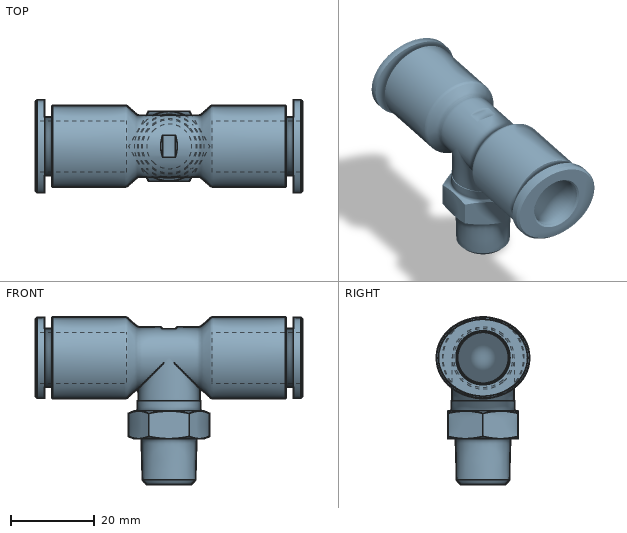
import cadquery as cq
import math

overall_length = 64.4
half_length = overall_length / 2
flange_width = 22.5
flange_height = 19.5
flange_thickness = 2.25
flange_chamfer = 0.5
neck_radius = 7.1
neck_length = 1.75
sleeve_radius = 9.85
sleeve_edge_chamfer = 0.2
stem_radius = 7.5
cone_start = 10.25
cone_end = 7.55
blend_radius = 1.0
bore_radius = 6.1
bore_chamfer = 0.4
bore_depth = half_length - cone_start

bottom_z = -30.5
collar_radius = 7.65
collar_flare_radius = 0.3
collar_top_z = -10.4
hex_top_z = -12.8
hex_height = 6.7
hex_bottom_z = hex_top_z - hex_height
hex_flats = 16.95
hex_corner_radius = hex_flats / math.sqrt(3)
hex_chamfer_height = 0.6
hex_face_radius = 8.4
thread_top_radius = 6.7
thread_end_radius = 6.45
thread_chamfer_height = 1.1
thread_tip_radius = 5.4

notch_depth = 0.48
notch_floor_width = 3.0


def slice_selector(x):
    """Select the circular edges that lie in the plane at the given X."""
    half_slice = 0.05
    reach = 2 * sleeve_radius
    return cq.selectors.BoxSelector(
        (x - half_slice, -reach, -reach), (x + half_slice, reach, reach), boundingbox=True
    )


def run_body():
    """Stem, flared sleeves and release-collar necks, turned about X."""
    sleeve_end = half_length - flange_thickness - neck_length
    profile = (
        cq.Workplane("XY")
        .moveTo(-sleeve_end, 0)
        .lineTo(-sleeve_end, sleeve_radius)
        .lineTo(-cone_start, sleeve_radius)
        .lineTo(-cone_end, stem_radius)
        .lineTo(cone_end, stem_radius)
        .lineTo(cone_start, sleeve_radius)
        .lineTo(sleeve_end, sleeve_radius)
        .lineTo(sleeve_end, 0)
        .close()
    )
    body = profile.revolve(360, (0, 0, 0), (1, 0, 0))
    for edge_x in (-cone_start, -cone_end, cone_end, cone_start):
        body = body.edges(slice_selector(edge_x)).fillet(blend_radius)
    body = body.faces("<X or >X").edges().chamfer(sleeve_edge_chamfer)
    neck_end = half_length - flange_thickness
    neck = cq.Workplane("YZ").circle(neck_radius).extrude(neck_end, both=True)
    return body.union(neck)


def oval_flange():
    """Oval release collar at the -X end, chamfered round its outer face."""
    return (
        cq.Workplane("YZ", origin=(-half_length, 0, 0))
        .ellipse(flange_width / 2, flange_height / 2)
        .extrude(flange_thickness)
        .faces("<X")
        .chamfer(flange_chamfer)
    )


def tube_bore():
    """Blind tube socket at the -X end with a countersunk mouth."""
    mouth_radius = bore_radius + bore_chamfer
    return (
        cq.Workplane("XY", origin=(-half_length, 0, 0))
        .lineTo(0, mouth_radius)
        .lineTo(bore_chamfer, bore_radius)
        .lineTo(bore_depth, bore_radius)
        .lineTo(bore_depth, 0)
        .close()
        .revolve(360, (0, 0, 0), (1, 0, 0))
    )


def branch():
    """Round branch ending in a slightly wider collar and a tapered thread."""
    flare_foot_radius = collar_radius + collar_flare_radius
    return (
        cq.Workplane("XZ")
        .lineTo(stem_radius, 0)
        .lineTo(stem_radius, collar_top_z)
        .lineTo(collar_radius, collar_top_z)
        .lineTo(collar_radius, hex_top_z + collar_flare_radius)
        .radiusArc((flare_foot_radius, hex_top_z), -collar_flare_radius)
        .lineTo(flare_foot_radius, hex_bottom_z)
        .lineTo(thread_top_radius, hex_bottom_z)
        .lineTo(thread_end_radius, bottom_z + thread_chamfer_height)
        .lineTo(thread_tip_radius, bottom_z)
        .lineTo(0, bottom_z)
        .close()
        .revolve(360, (0, 0, 0), (0, 1, 0))
    )


def hexagon():
    """Spanner hexagon with corners on X, its corners turned off at both ends."""
    prism = (
        cq.Workplane("XY", origin=(0, 0, hex_bottom_z))
        .polygon(6, 2 * hex_corner_radius)
        .extrude(hex_height)
    )
    envelope = (
        cq.Workplane("XZ", origin=(0, 0, hex_bottom_z))
        .lineTo(hex_face_radius, 0)
        .lineTo(hex_corner_radius, hex_chamfer_height)
        .lineTo(hex_corner_radius, hex_height - hex_chamfer_height)
        .lineTo(hex_face_radius, hex_height)
        .lineTo(0, hex_height)
        .close()
        .revolve(360, (0, 0, 0), (0, 1, 0))
    )
    return prism.intersect(envelope)


def notch():
    """Shallow flat-bottomed notch with 45 degree sides, cut across Y."""
    floor_half = notch_floor_width / 2
    return (
        cq.Workplane("XZ")
        .moveTo(-floor_half, stem_radius - notch_depth)
        .lineTo(floor_half, stem_radius - notch_depth)
        .lineTo(floor_half + notch_depth, stem_radius)
        .lineTo(-floor_half - notch_depth, stem_radius)
        .close()
        .extrude(stem_radius, both=True)
    )


result = run_body().union(branch()).union(hexagon()).cut(notch())
for end_flange in (oval_flange(), oval_flange().mirror("YZ")):
    result = result.union(end_flange)
for end_bore in (tube_bore(), tube_bore().mirror("YZ")):
    result = result.cut(end_bore)